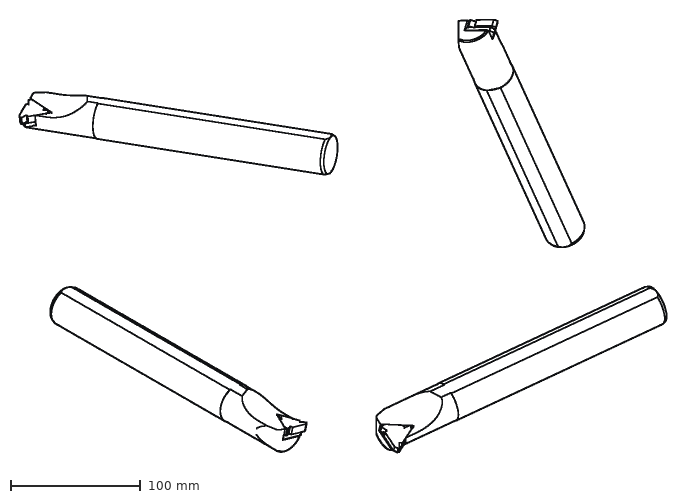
import cadquery as cq
import math

LENGTH = 250.0
SHANK_RADIUS = 16.0
HEAD_RADIUS = 15.8
HEAD_END = 59.8
FLAT_HEIGHT = 15.0
BACK_CHAMFER_LENGTH = 2.5
BACK_CHAMFER_DEPTH = 1.0

NOSE_X = 0.8
NOSE_CHAMFER = 1.0
FLANK_CORNER_Y = 10.5
FLANK_END_X = 21.8
FLANK_CORNER_RADIUS = 2.5

TILT = 14.0
FACE_HEIGHT = 5.5
RUNOUT_START = 21.0
RUNOUT_RADIUS = 45.0
RUNOUT_ANGLE = 30.0
CLEARANCE = 50.0

INRADIUS = 7.8
INSERT_CENTRE_Y = -9.8
INSERT_THICKNESS = 6.2
TOOTH_TIP_Y = -21.0
CORNERS = 3

LEDGE_THICKNESS = 3.5
LEDGE_FRONT_X = 1.5
LEDGE_CORNER_CUT = 2.5
RELIEF_END_X = 12.0
RELIEF_Y = -12.5

tilt = math.radians(TILT)
face_normal = cq.Vector(0, -math.sin(tilt), math.cos(tilt))


def face_plane(depth=0.0):
    """Workplane parallel to the chip face, the given depth below it."""
    origin = cq.Vector(0, 0, FACE_HEIGHT) - face_normal * depth
    return cq.Workplane(cq.Plane(origin, (1, 0, 0), face_normal))


def rod(radius, start, end):
    return cq.Workplane("YZ", origin=(start, 0, 0)).circle(radius).extrude(end - start)


def slab_between(bottom, top):
    """Full-length slab that trims the bar to its flats."""
    return cq.Workplane("XY", origin=(0, 0, bottom)).rect(3 * LENGTH, CLEARANCE).extrude(top - bottom)


def make_shank():
    shank = rod(SHANK_RADIUS, HEAD_END, LENGTH)
    bevel = [
        (LENGTH, SHANK_RADIUS),
        (LENGTH - BACK_CHAMFER_LENGTH, SHANK_RADIUS),
        (LENGTH, SHANK_RADIUS - BACK_CHAMFER_DEPTH),
    ]
    shank = shank.cut(cq.Workplane("XY").polyline(bevel).close().revolve(360, (0, 0), (1, 0)))
    return shank.intersect(slab_between(-FLAT_HEIGHT, FLAT_HEIGHT))


def make_head():
    head = rod(HEAD_RADIUS, NOSE_X, HEAD_END).faces("<X").chamfer(NOSE_CHAMFER)
    head = head.intersect(slab_between(-HEAD_RADIUS, FLAT_HEIGHT))
    outline = [
        (NOSE_X, -CLEARANCE),
        (NOSE_X, FLANK_CORNER_Y),
        (FLANK_END_X, SHANK_RADIUS),
        (HEAD_END, SHANK_RADIUS),
        (HEAD_END, -CLEARANCE),
    ]
    flank = cq.Workplane("XY").polyline(outline).close().extrude(CLEARANCE, both=True)
    corner = cq.selectors.NearestToPointSelector((NOSE_X, FLANK_CORNER_Y, 0))
    return head.intersect(flank.edges(corner).fillet(FLANK_CORNER_RADIUS))


def chip_space():
    """Material removed above the chip face and its concave run-out."""
    def on_arc(degrees):
        angle = math.radians(degrees)
        return (RUNOUT_START + RUNOUT_RADIUS * math.sin(angle), RUNOUT_RADIUS * (1 - math.cos(angle)))

    arc_end = on_arc(RUNOUT_ANGLE)
    slope_end_x = arc_end[0] + (CLEARANCE - arc_end[1]) / math.tan(math.radians(RUNOUT_ANGLE))
    plane = cq.Plane((0, 0, FACE_HEIGHT), (1, 0, 0), (0, -math.cos(tilt), -math.sin(tilt)))
    return (
        cq.Workplane(plane)
        .moveTo(-CLEARANCE, 0)
        .lineTo(RUNOUT_START, 0)
        .threePointArc(on_arc(RUNOUT_ANGLE / 2), arc_end)
        .lineTo(slope_end_x, CLEARANCE)
        .lineTo(-CLEARANCE, CLEARANCE)
        .close()
        .extrude(CLEARANCE, both=True)
    )


def triangle_corners():
    half_side = INRADIUS * math.sqrt(3)
    return [
        (0, INSERT_CENTRE_Y - half_side),
        (3 * INRADIUS, INSERT_CENTRE_Y),
        (0, INSERT_CENTRE_Y + half_side),
    ]


def insert_pocket():
    """Triangular pocket, open through the nose and the cutting side."""
    low, apex, high = triangle_corners()
    open_low = (2 * low[0] - apex[0], 2 * low[1] - apex[1])
    open_high = (2 * high[0] - apex[0], 2 * high[1] - apex[1])
    outline = [open_low, apex, open_high]
    return face_plane(INSERT_THICKNESS).polyline(outline).close().extrude(CLEARANCE)


def side_relief():
    """Notch that clears the cutting side down to the underside of the ledge."""
    return (
        face_plane(INSERT_THICKNESS + LEDGE_THICKNESS)
        .moveTo(0, RELIEF_Y)
        .lineTo(RELIEF_END_X, RELIEF_Y)
        .lineTo(RELIEF_END_X, -CLEARANCE)
        .lineTo(0, -CLEARANCE)
        .close()
        .extrude(CLEARANCE)
    )


def ledge_prism():
    base = face_plane(INSERT_THICKNESS + LEDGE_THICKNESS)
    prism = base.polyline(triangle_corners()).close().extrude(LEDGE_THICKNESS)
    front_y = INSERT_CENTRE_Y - math.sqrt(3) * (INRADIUS - LEDGE_FRONT_X / 3)
    corner_cut = (
        base.moveTo(LEDGE_FRONT_X, front_y + 2 * LEDGE_CORNER_CUT)
        .lineTo(LEDGE_FRONT_X + 2 * LEDGE_CORNER_CUT, front_y)
        .lineTo(LEDGE_FRONT_X, front_y - LEDGE_CORNER_CUT)
        .close()
        .extrude(LEDGE_THICKNESS)
    )
    front_cut = (
        base.center(LEDGE_FRONT_X / 2, INSERT_CENTRE_Y)
        .rect(LEDGE_FRONT_X, CLEARANCE)
        .extrude(LEDGE_THICKNESS)
    )
    return prism.cut(front_cut).cut(corner_cut), front_cut.intersect(prism)


def make_holder():
    head = make_head().cut(chip_space()).cut(insert_pocket())
    ledge, nose_recess = ledge_prism()
    head = head.cut(nose_recess).cut(side_relief()).union(ledge)
    return make_shank().union(head).solids()


def tooth_outline():
    """One tooth and the notch beside it, measured from the insert centre."""
    tip = TOOTH_TIP_Y / math.cos(tilt) - INSERT_CENTRE_Y
    return [(-INRADIUS, -9.2), (-6.0, tip), (-5.0, -11.8), (-2.38, -7.8), (-0.8, -9.2)]


def make_insert():
    outline = []
    for corner in range(CORNERS):
        turn = math.radians(corner * 360 / CORNERS)
        for x, y in tooth_outline():
            turned_x = x * math.cos(turn) - y * math.sin(turn)
            turned_y = x * math.sin(turn) + y * math.cos(turn)
            outline.append((INRADIUS + turned_x, INSERT_CENTRE_Y + turned_y))
    return face_plane(INSERT_THICKNESS).polyline(outline).close().extrude(INSERT_THICKNESS)


holder = make_holder()
threading_insert = make_insert()
result = cq.Compound.makeCompound([holder.val(), threading_insert.val()])